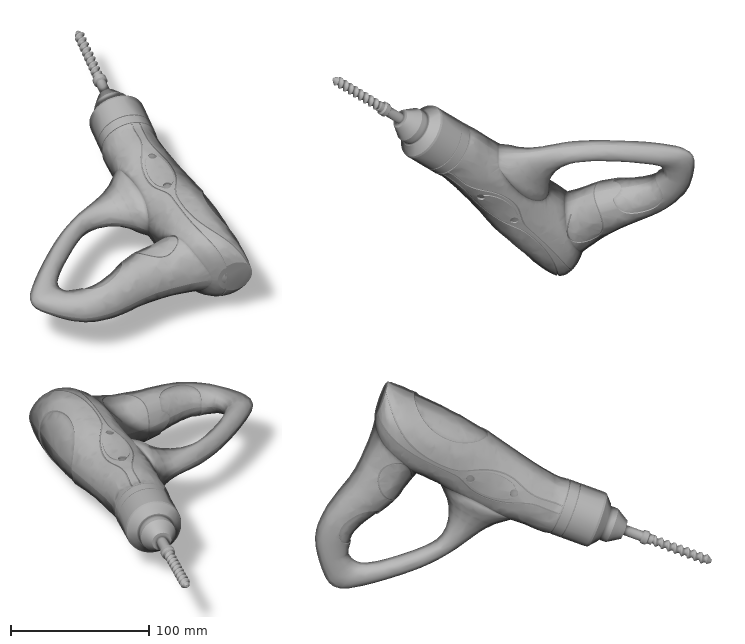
import math

import cadquery as cq


TIP_RADIUS = 1.2
TIP_LENGTH = 5.0
TIP_CONE_EXCESS = 0.5
FLUTE_END = 46.0
FLUTE_CORE_RADIUS = 2.3
FLUTE_RADIUS = 4.0
FLUTE_LEAD = 5.1
SHANK_RADIUS = 3.8
COLLAR_START = 48.8
COLLAR_END = 54.4
COLLAR_RADIUS = 5.1
COLLAR_CHAMFER = 1.0

CHUCK_START = 68.0
CHUCK_NOSE_RADIUS = 7.2
CHUCK_CONE_END = 77.5
CHUCK_RADIUS = 13.0
BARREL_START = 83.5
BARREL_FACE_RADIUS = 14.5
BARREL_CONE_END = 89.0
BARREL_RADIUS = 20.9
BARREL_EDGE_CHAMFER = 0.4
BARREL_EDGE_LENGTH = 1.6
BARREL_END = 119.0
BARREL_GROOVES = (110.0, 118.0)
GROOVE_WIDTH = 0.8
GROOVE_DEPTH = 0.8

HOUSING_SECTIONS = [
    (BARREL_END, BARREL_RADIUS, -BARREL_RADIUS, BARREL_RADIUS),
    (133.0, 21.2, -21.2, 21.3),
    (158.0, 27.0, -22.0, 21.8),
    (185.0, 34.3, -19.0, 24.0),
    (212.0, 39.7, -13.0, 28.3),
    (240.0, 42.4, -9.5, 30.2),
    (256.0, 43.5, -1.0, 28.2),
    (264.0, 44.0, 8.0, 23.0),
    (268.8, 44.2, 18.0, 14.0),
]

HANDLE_SECTIONS = [
    ((143.0, -19.5), (212.0, -4.0), 16.0),
    ((156.0, -28.5), (197.0, -23.0), 13.0),
    ((166.5, -42.0), (190.0, -37.5), 9.3),
    ((176.3, -58.0), (190.0, -53.0), 8.6),
    ((189.4, -75.0), (198.5, -65.5), 8.3),
    ((207.6, -92.3), (216.5, -81.5), 8.2),
    ((228.3, -108.7), (232.0, -92.0), 8.2),
    ((248.3, -117.3), (240.5, -93.3), 7.6),
    ((262.5, -106.0), (246.5, -90.5), 9.0),
    ((275.0, -84.5), (248.8, -82.5), 11.5),
    ((276.1, -69.5), (249.0, -73.5), 13.8),
    ((273.3, -53.0), (242.5, -58.0), 16.2),
    ((267.5, -31.0), (230.5, -36.0), 19.0),
    ((266.0, -11.0), (226.0, -18.5), 20.0),
    ((266.2, 4.0), (222.0, -5.0), 22.0),
    ((267.5, 15.0), (222.0, 5.0), 22.0),
    ((270.0, 25.0), (225.0, 14.0), 18.0),
]
ARC_SPANS = 4

DETAIL_DEPTH = 0.9
SEAM_WIDTH = 1.1
SIDE_TOOL_HEIGHT = 40.0
PLANE_TOLERANCE = 1e-3

UPPER_SEAM = [
    (BARREL_END, 8.0), (129.0, 8.0), (138.0, 8.2), (148.0, 10.5), (158.0, 14.5), (173.0, 16.3), (188.0, 13.0),
    (200.0, 8.6), (208.0, 8.2), (222.0, 10.0), (243.0, 18.0), (258.0, 30.0), (270.0, 43.0),
]
LOWER_SEAM = [
    (BARREL_END, 2.0), (129.0, 2.0), (138.0, 2.4), (148.0, 0.0), (158.0, -3.7), (172.0, -5.6), (186.0, -3.0),
    (198.0, 3.5), (206.0, 5.0), (222.0, 7.0), (241.0, 11.0), (257.0, 17.0), (271.0, 25.5),
]

BUTTON_CENTER = (172.5, 5.5)
BUTTON_LENGTH = 37.0
BUTTON_HEIGHT = 17.5
BUTTON_RISE = 0.8
BUTTON_DIMPLE_RADIUS = 3.0

PANEL_START = (187.5, 34.0)
PANEL_LOW = (211.0, 27.5)
PANEL_END = (249.5, 44.5)
PANEL_OUTER_Y = 60.0

TRIGGER_PAD = [(227.5, -14.5), (243.3, -4.2), (251.3, -14.5), (246.7, -27.8), (229.0, -35.0)]
FINGER_PAD = [
    (238.0, -47.0), (248.3, -48.7), (258.3, -59.5), (261.3, -71.0), (258.0, -78.0), (247.0, -79.0),
]


def revolve_profile(points):
    """Turn an (X, radius) profile round the X axis."""
    start_x = points[0][0]
    end_x = points[-1][0]
    outline = [(start_x, 0.0)] + points + [(end_x, 0.0)]
    return cq.Workplane("XY").polyline(outline).close().revolve(360, (0, 0, 0), (1, 0, 0))


def half_oval_wire(center, direction, half_length, half_width):
    """Upper half of an oval section, spanned by an in-plane XY direction and +Z."""
    angles = [math.pi * i / ARC_SPANS for i in range(ARC_SPANS + 1)]
    points = []
    for angle in angles:
        along = half_length * math.cos(angle)
        height = half_width * math.sin(angle)
        points.append(cq.Vector(center[0] + along * direction[0], center[1] + along * direction[1], height))
    end_slopes = [cq.Vector(0, 0, half_width), cq.Vector(0, 0, -half_width)]
    arc = cq.Edge.makeSpline(points, tangents=end_slopes, parameters=angles, scale=False)
    base = cq.Edge.makeLine(points[-1], points[0])
    return cq.Wire.assembleEdges([arc, base])


def section_between(first, second, half_width, inset):
    """Oval section whose ends lie at two XY points, shrunk by the inset."""
    dx = second[0] - first[0]
    dy = second[1] - first[1]
    length = math.hypot(dx, dy)
    center = ((first[0] + second[0]) / 2, (first[1] + second[1]) / 2)
    return half_oval_wire(center, (dx / length, dy / length), length / 2 - inset, half_width - inset)


def make_housing(inset=0.0):
    wires = [section_between((x, top), (x, bottom), half_width, inset)
             for x, top, bottom, half_width in HOUSING_SECTIONS]
    return cq.Workplane(cq.Solid.makeLoft(wires))


def make_handle(inset=0.0):
    wires = [section_between(outer, inner, half_width, inset)
             for outer, inner, half_width in HANDLE_SECTIONS]
    return cq.Workplane(cq.Solid.makeLoft(wires))


def make_bit():
    lobe_radius = (FLUTE_RADIUS + FLUTE_CORE_RADIUS) / 2
    lobe_offset = (FLUTE_RADIUS - FLUTE_CORE_RADIUS) / 2
    thread = (
        cq.Workplane("YZ")
        .moveTo(0, lobe_offset)
        .circle(lobe_radius)
        .twistExtrude(FLUTE_END, 360.0 * FLUTE_END / FLUTE_LEAD)
    )
    envelope = revolve_profile([
        (0.0, TIP_RADIUS),
        (TIP_LENGTH, FLUTE_RADIUS + TIP_CONE_EXCESS),
        (FLUTE_END, FLUTE_RADIUS + TIP_CONE_EXCESS),
    ])
    shank = revolve_profile([
        (FLUTE_END, SHANK_RADIUS),
        (COLLAR_START, SHANK_RADIUS),
        (COLLAR_START + COLLAR_CHAMFER, COLLAR_RADIUS),
        (COLLAR_END - COLLAR_CHAMFER, COLLAR_RADIUS),
        (COLLAR_END, SHANK_RADIUS),
        (CHUCK_START, SHANK_RADIUS),
    ])
    return thread.intersect(envelope).union(shank)


def make_barrel():
    barrel = revolve_profile([
        (CHUCK_START, CHUCK_NOSE_RADIUS),
        (CHUCK_CONE_END, CHUCK_RADIUS),
        (BARREL_START, CHUCK_RADIUS),
        (BARREL_START, BARREL_FACE_RADIUS),
        (BARREL_CONE_END, BARREL_RADIUS - BARREL_EDGE_CHAMFER),
        (BARREL_CONE_END + BARREL_EDGE_LENGTH, BARREL_RADIUS),
        (BARREL_END, BARREL_RADIUS),
    ])
    for x in BARREL_GROOVES:
        ring = (
            cq.Workplane("YZ", origin=(x - GROOVE_WIDTH / 2, 0, 0))
            .circle(BARREL_RADIUS + GROOVE_DEPTH)
            .circle(BARREL_RADIUS - GROOVE_DEPTH)
            .extrude(GROOVE_WIDTH)
        )
        barrel = barrel.cut(ring)
    return barrel


def side_prism(sketch):
    """Extrude an XY sketch from the XY plane out through the +Z flank."""
    return sketch.extrude(SIDE_TOOL_HEIGHT)


def offset_path(points, distance):
    """Shift a chain of XY points sideways, square to its local direction."""
    shifted = []
    last = len(points) - 1
    for i, (x, y) in enumerate(points):
        before = points[max(i - 1, 0)]
        after = points[min(i + 1, last)]
        dx = after[0] - before[0]
        dy = after[1] - before[1]
        length = math.hypot(dx, dy)
        shifted.append((x - distance * dy / length, y + distance * dx / length))
    return shifted


def make_seam(path):
    """Ribbon of constant width along a smooth path through the points."""
    left = offset_path(path, SEAM_WIDTH / 2)
    right = offset_path(path, -SEAM_WIDTH / 2)
    right.reverse()
    sketch = (
        cq.Workplane("XY")
        .moveTo(*left[0])
        .spline(left[1:], includeCurrent=True)
        .lineTo(*right[0])
        .spline(right[1:], includeCurrent=True)
        .close()
    )
    return side_prism(sketch)


def make_top_panel():
    """Lens-shaped region that dips from the top of the housing down its flank."""
    sketch = (
        cq.Workplane("XY")
        .moveTo(*PANEL_START)
        .threePointArc(PANEL_LOW, PANEL_END)
        .lineTo(PANEL_END[0], PANEL_OUTER_Y)
        .lineTo(PANEL_START[0], PANEL_OUTER_Y)
        .close()
    )
    return side_prism(sketch)


def make_finger_pad():
    sketch = (
        cq.Workplane("XY")
        .moveTo(*FINGER_PAD[0])
        .spline(FINGER_PAD[1:], includeCurrent=True)
        .close()
    )
    return side_prism(sketch)


def make_button():
    """Oval button on the +Z flank, standing proud of the housing."""
    outline = cq.Workplane("XY").center(*BUTTON_CENTER).ellipse(BUTTON_LENGTH / 2, BUTTON_HEIGHT / 2)
    return side_prism(outline).intersect(make_housing(-BUTTON_RISE), clean=False)


def make_button_dimples():
    end_offset = BUTTON_LENGTH / 2 - BUTTON_DIMPLE_RADIUS / 2
    ends = [(BUTTON_CENTER[0] + side * end_offset, BUTTON_CENTER[1]) for side in (-1, 1)]
    return side_prism(cq.Workplane("XY").pushPoints(ends).circle(BUTTON_DIMPLE_RADIUS))


def make_half_body():
    """Grip and housing above the XY plane, with all surface details."""
    half = make_housing().union(make_handle(), clean=False)
    half = half.union(make_button(), clean=False)
    housing_core = make_housing(DETAIL_DEPTH)
    handle_core = make_handle(DETAIL_DEPTH)
    full_core = housing_core.union(handle_core, clean=False)
    recesses = [
        (make_seam(UPPER_SEAM), housing_core),
        (make_seam(LOWER_SEAM), full_core),
        (make_seam(TRIGGER_PAD), full_core),
        (make_top_panel(), housing_core),
        (make_finger_pad(), handle_core),
        (make_button_dimples(), housing_core),
    ]
    for region, core in recesses:
        half = half.cut(region.cut(core, clean=False), clean=False)
    return half


def mirror_half(half):
    """Join a half body and its mirror image by sewing every face except those on the XY plane."""
    outer_faces = [face for face in half.faces().vals() if face.BoundingBox().zmax > PLANE_TOLERANCE]
    mirrored_faces = [face.mirror("XY") for face in outer_faces]
    return cq.Workplane(cq.Solid.makeSolid(cq.Shell.makeShell(outer_faces + mirrored_faces)))


body = mirror_half(make_half_body())
result = body.union(make_barrel(), clean=False).union(make_bit(), clean=False)